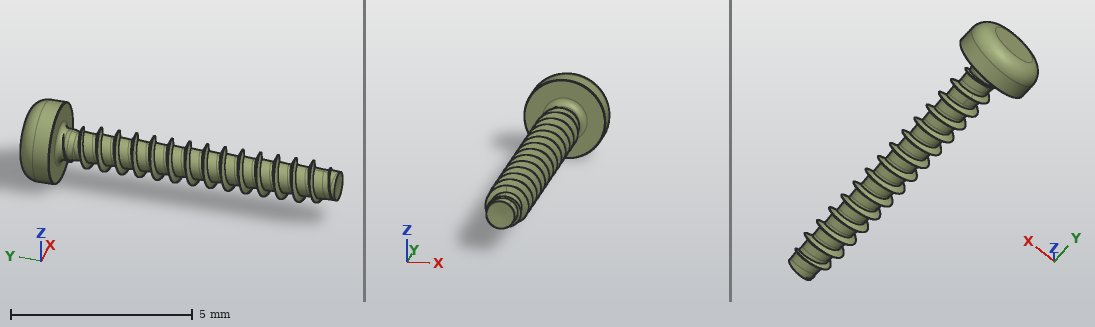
import cadquery as cq
import math

head_radius = 1.15
head_height = 0.95
head_top_fillet = 0.47
bearing_edge_chamfer = 0.02

shank_length = 8.0
core_radius = 0.402
neck_radius = 0.44
tip_hollow_radius = 0.38
tip_hollow_depth = 0.026
neck_fillet = 0.19
neck_end = 0.30
neck_taper_end = 0.46

pitch = 0.51
thread_radius = 0.60
crest_half_width = 0.008
head_flank_slope = 0.45
tip_flank_slope = 0.33
flank_foot_radius = 0.42
root_slope = 0.07
root_end_offset = 0.36
buried_radius = 0.30

tip_fade_turns = 1.5
tip_fade_radius = 0.39
tip_fade_foot_radius = 0.385
foot_fade_turns = 0.6
head_fade_start_turn = 14.0
thread_end_turn = 15.5
points_per_turn = 24


def make_blank():
    """Head and unthreaded shank, revolved about the Y axis."""
    fillet_mid = neck_fillet * (1 - math.sqrt(0.5))
    top_mid = head_top_fillet * (1 - math.sqrt(0.5))
    profile = (
        cq.Workplane("ZY")
        .moveTo(0, -shank_length)
        .lineTo(core_radius, -shank_length)
        .lineTo(core_radius, -neck_taper_end)
        .lineTo(neck_radius, -neck_end)
        .lineTo(neck_radius, -neck_fillet)
        .threePointArc(
            (neck_radius + fillet_mid, -fillet_mid),
            (neck_radius + neck_fillet, 0),
        )
        .lineTo(head_radius - bearing_edge_chamfer, 0)
        .lineTo(head_radius, bearing_edge_chamfer)
        .lineTo(head_radius, head_height - head_top_fillet)
        .threePointArc(
            (head_radius - top_mid, head_height - top_mid),
            (head_radius - head_top_fillet, head_height),
        )
        .lineTo(0, head_height)
        .close()
    )
    return profile.revolve(360, (0, 0, 0), (0, 1, 0))


def crest_radius(turn):
    """Crest radius, falling linearly toward both ends of the thread."""
    if turn < tip_fade_turns:
        rise = turn / tip_fade_turns
        return tip_fade_radius + (thread_radius - tip_fade_radius) * rise
    if turn > head_fade_start_turn:
        fall = (turn - head_fade_start_turn) / (thread_end_turn - head_fade_start_turn)
        return thread_radius - (thread_radius - neck_radius) * fall
    return thread_radius


def foot_radius(turn):
    """Radius at the foot of the tip-side flank, falling toward the tip."""
    rise = min(turn / foot_fade_turns, 1)
    return tip_fade_foot_radius + (flank_foot_radius - tip_fade_foot_radius) * rise


def thread_profile(turn):
    """Corners of the thread section as (offset toward the head, radius) pairs."""
    crest = crest_radius(turn)
    foot = foot_radius(turn)
    head_root = crest_half_width + head_flank_slope * (crest - buried_radius)
    foot_offset = crest_half_width + tip_flank_slope * (crest - foot)
    root_end_radius = foot - root_slope * (root_end_offset - foot_offset)
    return [
        (head_root, buried_radius),
        (crest_half_width, crest),
        (-crest_half_width, crest),
        (-foot_offset, foot),
        (-root_end_offset, root_end_radius),
        (-root_end_offset, buried_radius),
    ]


def thread_point(turn, corner):
    """Point of one profile corner; turn 0 lies on the -Z side at the tip."""
    offset, radius = thread_profile(turn)[corner]
    angle = 2 * math.pi * turn
    return cq.Vector(
        -radius * math.sin(angle),
        -shank_length + pitch * turn + offset,
        -radius * math.cos(angle),
    )


def thread_edge(first_turn, last_turn, corner):
    """Helical edge traced by one profile corner between two turn counts."""
    turns = last_turn - first_turn
    steps = round(turns * points_per_turn)
    points = [thread_point(first_turn + turns * i / steps, corner) for i in range(steps + 1)]
    return cq.Edge.makeSpline(points)


def end_cap(turn):
    """Flat face closing the thread body at one of its ends."""
    corners = [thread_point(turn, i) for i in range(len(thread_profile(turn)))]
    return cq.Face.makeFromWires(cq.Wire.makePolygon(corners, close=True))


def make_thread():
    """Thread body built from ruled faces between its helical edges."""
    faces = [end_cap(0), end_cap(thread_end_turn)]
    limits = [0, foot_fade_turns, tip_fade_turns, head_fade_start_turn, thread_end_turn]
    for first_turn, last_turn in zip(limits, limits[1:]):
        corners = range(len(thread_profile(first_turn)))
        edges = [thread_edge(first_turn, last_turn, i) for i in corners]
        for i, edge in enumerate(edges):
            faces.append(cq.Face.makeRuledSurface(edges[i - 1], edge))
    body = cq.Solid.makeSolid(cq.Shell.makeShell(faces))
    return cq.Workplane(body)


def make_envelope():
    """Block above the tip plane, which trims the thread."""
    size = 2 * head_radius
    return (
        cq.Workplane("XZ", origin=(0, -shank_length, 0))
        .rect(size, size)
        .extrude(-shank_length)
    )


def make_tip_hollow():
    """Shallow cone on the Y axis that hollows the tip face."""
    cone = cq.Solid.makeCone(
        tip_hollow_radius,
        0,
        tip_hollow_depth,
        pnt=cq.Vector(0, -shank_length, 0),
        dir=cq.Vector(0, 1, 0),
    )
    return cq.Workplane(cone)


thread = make_thread().intersect(make_envelope())
result = make_blank().union(thread).cut(make_tip_hollow())